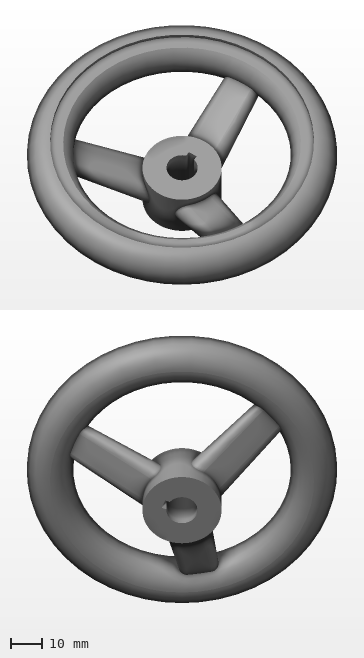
import cadquery as cq
import math

rim_outer_radius = 50.0
rim_section_radius = 7.5
rim_centre_radius = rim_outer_radius - rim_section_radius
rim_step_depth = 1.3

hub_diameter = 25.5
hub_bottom = -24.0
hub_height = 17.0
bore_diameter = 10.0
keyway_width = 3.0
keyway_reach = 6.4

spoke_count = 3
spoke_first_angle = 90.0
spoke_slope = 25.0
spoke_flat_width = 8.0
spoke_root_radius = 4.2
spoke_tip_radius = 2.1


def make_rim():
    ledge_height = rim_section_radius - rim_step_depth
    ledge_width = math.sqrt(rim_section_radius**2 - ledge_height**2)
    profile = (
        cq.Workplane("XZ")
        .moveTo(rim_centre_radius, ledge_height)
        .lineTo(rim_centre_radius, rim_section_radius)
        .threePointArc((rim_outer_radius, 0), (rim_centre_radius, -rim_section_radius))
        .threePointArc(
            (rim_centre_radius - rim_section_radius, 0),
            (rim_centre_radius - ledge_width, ledge_height),
        )
        .close()
    )
    return profile.revolve(360, (0, 0, 0), (0, 1, 0))


def make_hub():
    return cq.Workplane("XY").workplane(offset=hub_bottom).circle(hub_diameter / 2).extrude(hub_height)


def make_spoke(angle):
    """Spoke rising from the hub axis to the rim centre line in direction `angle`."""
    slope = math.radians(spoke_slope)
    length = rim_centre_radius / math.cos(slope)
    root_plane = cq.Plane(
        origin=(0, 0, -rim_centre_radius * math.tan(slope)),
        xDir=(0, 1, 0),
        normal=(math.cos(slope), 0, math.sin(slope)),
    )
    spoke = (
        cq.Workplane(root_plane)
        .slot2D(spoke_flat_width + 2 * spoke_root_radius, 2 * spoke_root_radius)
        .workplane(offset=length)
        .slot2D(spoke_flat_width + 2 * spoke_tip_radius, 2 * spoke_tip_radius)
        .loft(ruled=True)
    )
    return spoke.rotate((0, 0, 0), (0, 0, 1), angle)


def make_bore():
    bore = cq.Workplane("XY").workplane(offset=hub_bottom).circle(bore_diameter / 2).extrude(hub_height)
    keyway = cq.Workplane("XY").box(keyway_width, keyway_reach, hub_height, centered=(True, False, False))
    return bore.union(keyway.translate((0, 0, hub_bottom)))


result = make_rim().union(make_hub())
for index in range(spoke_count):
    result = result.union(make_spoke(spoke_first_angle + index * 360 / spoke_count))
result = result.cut(make_bore())